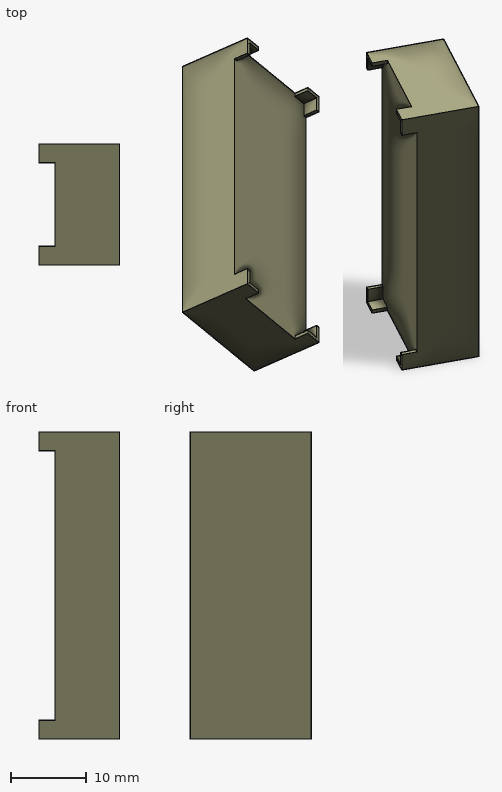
import cadquery as cq

total_depth = 10.6
width = 16.0
height = 40.5

foot_height = 2.1
foot_leg = 2.5
foot_wall = 0.53

body_depth = total_depth - foot_height


def corner_foot(y_side, z_side):
    """L-shaped foot flush with the two outer sides of one corner."""
    y_corner = y_side * width / 2
    z_corner = z_side * height / 2
    return (
        cq.Workplane("YZ", origin=(-total_depth / 2, 0, 0))
        .moveTo(y_corner, z_corner)
        .lineTo(y_corner - y_side * foot_leg, z_corner)
        .lineTo(y_corner - y_side * foot_leg, z_corner - z_side * foot_wall)
        .lineTo(y_corner - y_side * foot_wall, z_corner - z_side * foot_wall)
        .lineTo(y_corner - y_side * foot_wall, z_corner - z_side * foot_leg)
        .lineTo(y_corner, z_corner - z_side * foot_leg)
        .close()
        .extrude(foot_height)
    )


result = cq.Workplane("XY").box(body_depth, width, height).translate((foot_height / 2, 0, 0))

for y_side in (-1, 1):
    for z_side in (-1, 1):
        result = result.union(corner_foot(y_side, z_side))

result = result.clean()